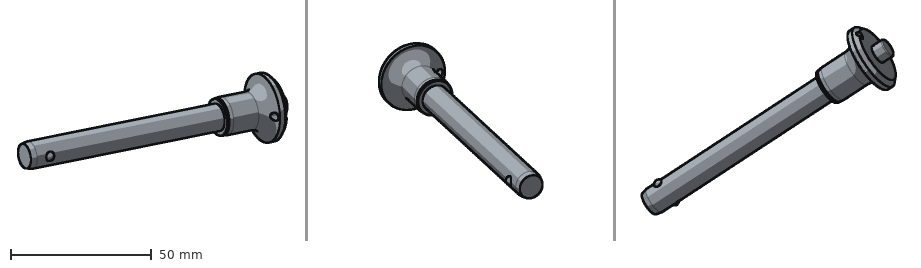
import cadquery as cq
import math


grip_length = 79.8
shank_radius = 5.0
tip_length = 2.3
tip_radius = 4.5

handle_length = 22.4
sleeve_radius = 7.0
collar_radius = 6.7
collar_length = 0.9
sleeve_taper_length = 1.7
sleeve_taper_depth = 0.15
flange_radius = 12.5
flange_chamfer = 1.8
flange_rim_width = 2.15
flare_radius = flange_radius - sleeve_radius

button_radius = 3.5
button_length = 4.7
button_fillet = 0.4

ball_radius = 1.8
ball_reach = 6.1
ball_from_tip = 7.7

lanyard_hole_radius = 1.5
lanyard_hole_offset = 10.0

flange_back = handle_length
flare_start = flange_back - flange_chamfer - flange_rim_width
flare_end = flare_start - flare_radius
taper_start = collar_length + sleeve_taper_length


def make_shank():
    """Cylindrical shank with a conical lead-in at the tip."""
    profile = (
        cq.Workplane("XY")
        .moveTo(0, -grip_length)
        .lineTo(tip_radius, -grip_length)
        .lineTo(shank_radius, -grip_length + tip_length)
        .lineTo(shank_radius, 0)
        .lineTo(0, 0)
        .close()
    )
    return profile.revolve(360, (0, 0, 0), (0, 1, 0))


def make_handle():
    """Collar, sleeve, concave flare and chamfered flange."""
    flare_mid_offset = flare_radius * (1 - math.cos(math.pi / 4))
    profile = (
        cq.Workplane("XY")
        .lineTo(collar_radius, 0)
        .lineTo(collar_radius, collar_length)
        .lineTo(sleeve_radius - sleeve_taper_depth, collar_length)
        .lineTo(sleeve_radius, taper_start)
        .lineTo(sleeve_radius, flare_end)
        .threePointArc(
            (sleeve_radius + flare_mid_offset, flare_start - flare_mid_offset),
            (flange_radius, flare_start),
        )
        .lineTo(flange_radius, flange_back - flange_chamfer)
        .lineTo(flange_radius - flange_chamfer, flange_back)
        .lineTo(0, flange_back)
        .close()
    )
    return profile.revolve(360, (0, 0, 0), (0, 1, 0))


def make_button():
    """Round push button with a softened rim, standing on the back of the flange."""
    button = (
        cq.Workplane("XZ", origin=(0, flange_back, 0))
        .circle(button_radius)
        .extrude(-button_length)
    )
    return button.faces(">Y").edges().fillet(button_fillet)


def make_ball(side):
    """Locking ball on the +X (side = 1) or -X (side = -1) flank of the shank."""
    center_x = side * (ball_reach - ball_radius)
    center_y = -grip_length + ball_from_tip
    return cq.Workplane("YZ").sphere(ball_radius).translate((center_x, center_y, 0))


def make_lanyard_hole():
    """Cutter running along Y through the whole flange and flare."""
    return (
        cq.Workplane("XZ", origin=(lanyard_hole_offset, flange_back, 0))
        .circle(lanyard_hole_radius)
        .extrude(flange_back)
    )


result = make_shank().union(make_handle()).union(make_button())
for side in (-1, 1):
    result = result.union(make_ball(side))
result = result.cut(make_lanyard_hole())